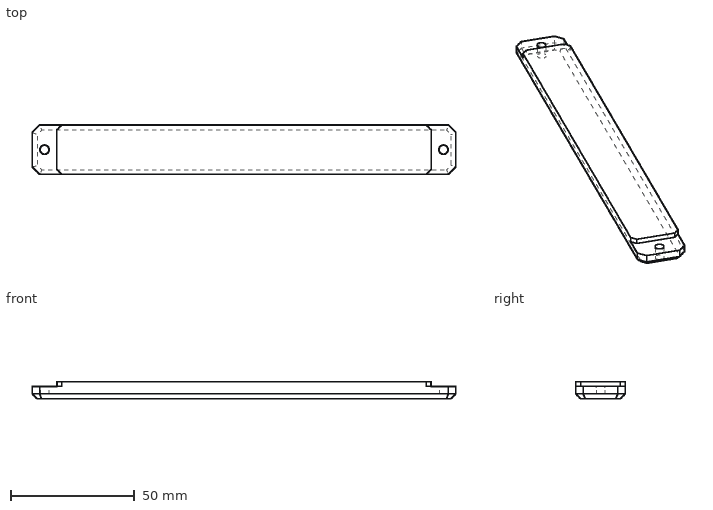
import cadquery as cq

length = 170.99
width = 20.0
height = 7.0

pad_height = 2.0
tab_length = 10.0
pad_corner = 2.0

base_height = height - pad_height
base_corner = 3.0
bottom_chamfer = 2.0

hole_diameter = 3.6
hole_spacing = length - tab_length


def clipped_block(block_length, block_height, corner, bottom_z):
    """Block of full width with its four vertical edges chamfered."""
    return (
        cq.Workplane("XY", origin=(0, 0, bottom_z))
        .rect(block_length, width)
        .extrude(block_height)
        .edges("|Z")
        .chamfer(corner)
    )


def base_plate():
    """Base plate with a chamfer around its whole underside."""
    plate = clipped_block(length, base_height, base_corner, 0)
    return plate.faces("<Z").edges().chamfer(bottom_chamfer)


def raised_pad():
    """Pad that leaves a bare tab at each end of the base."""
    return clipped_block(length - 2 * tab_length, pad_height, pad_corner, base_height)


def mounting_holes():
    """Through-hole cutters, one in each end tab."""
    return (
        cq.Workplane("XY")
        .rarray(hole_spacing, 1, 2, 1)
        .circle(hole_diameter / 2)
        .extrude(height)
    )


result = base_plate().union(raised_pad()).cut(mounting_holes())